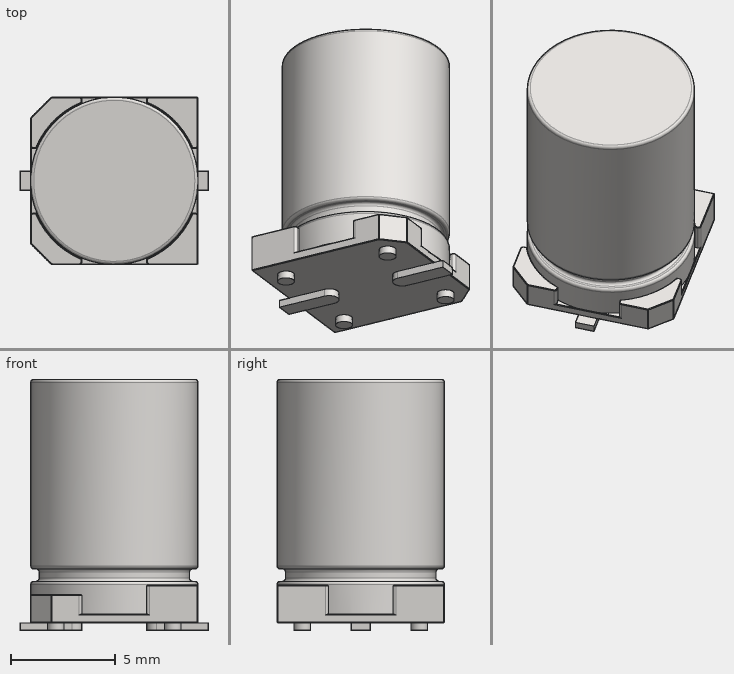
import cadquery as cq
import math

total_height = 12.0
lead_span = 9.0
can_diameter = 8.0

base_width = can_diameter
base_bottom = 0.36
floor_level = 0.78
low_lug_top = 1.7
tall_lug_top = 2.16
corner_chamfer = 1.0
notch_half_width = 1.55
notch_corner_radius = 0.13
bore_clearance = 0.04
edge_chamfer = 0.04

groove_diameter = 7.2
groove_center = 2.64
groove_opening = 0.89
groove_flat = 0.29

lead_width = 0.92
lead_inner_end = notch_half_width
pin_diameter = 0.8
pin_offset = 2.8

half_base = base_width / 2
can_radius = can_diameter / 2
neck_radius = groove_diameter / 2
rolled_radius = (groove_opening - groove_flat) / 4
cut_height = total_height
arc_middle = math.sqrt(0.5)


def above(level):
    """Horizontal workplane centred on the can axis at the given height."""
    return cq.Workplane("XY", origin=(0, 0, level))


def side_notch(angle):
    """Cutter for one side notch, flaring at its mouth to round the lug corners."""
    mouth = notch_half_width + notch_corner_radius
    arc_start = half_base - notch_corner_radius
    arc_inset = notch_corner_radius * (1 - arc_middle)
    arc_x = half_base - arc_inset
    arc_y = notch_half_width + arc_inset
    return (
        above(floor_level)
        .moveTo(0, -notch_half_width)
        .lineTo(arc_start, -notch_half_width)
        .threePointArc((arc_x, -arc_y), (half_base, -mouth))
        .lineTo(half_base, mouth)
        .threePointArc((arc_x, arc_y), (arc_start, notch_half_width))
        .lineTo(0, notch_half_width)
        .close()
        .extrude(cut_height)
        .rotate((0, 0, 0), (0, 0, 1), angle)
    )


def chamfer_top_edges(block):
    """Bevel the rims of the lug tops and the floor edge across each notch."""
    margin = 0.01
    lug_tops = cq.selectors.BoxSelector(
        (-base_width, -base_width, low_lug_top - margin),
        (base_width, base_width, tall_lug_top + margin),
    )
    block = block.faces("+Z").faces(lug_tops).edges().chamfer(edge_chamfer)

    floor_edges = cq.selectors.BoxSelector(
        (-base_width, -base_width, floor_level - margin),
        (base_width, base_width, floor_level + margin),
    )
    for side in ("<X", ">X", "<Y", ">Y"):
        block = block.faces(side).edges(floor_edges).chamfer(edge_chamfer)
    return block


def base():
    """Moulded base: a floor carrying four corner lugs, low at -X and tall at +X."""
    block = above(base_bottom).rect(base_width, base_width).extrude(tall_lug_top - base_bottom)
    block = block.edges("|Z and <X").chamfer(corner_chamfer)
    block = block.edges("|Z").chamfer(edge_chamfer)
    block = block.faces("<Z").edges().chamfer(edge_chamfer)

    low_side = above(low_lug_top).center(-half_base, 0).rect(base_width, base_width).extrude(cut_height)
    block = block.cut(low_side)
    for angle in (0, 90, 180, 270):
        block = block.cut(side_notch(angle))
    bore = above(floor_level).circle(can_radius + bore_clearance).extrude(cut_height)
    block = block.cut(bore)
    return chamfer_top_edges(block)


def can():
    """Turned can: rounded top rim and a groove with S-shaped flanks around a short neck."""
    arc_reach = rolled_radius * arc_middle
    convex_center = can_radius - rolled_radius
    concave_center = neck_radius + rolled_radius
    opening_low = groove_center - groove_opening / 2
    opening_high = groove_center + groove_opening / 2
    neck_low = groove_center - groove_flat / 2
    neck_high = groove_center + groove_flat / 2
    wall_low = neck_low - rolled_radius
    wall_high = neck_high + rolled_radius
    rim_start = total_height - rolled_radius
    convex_x = convex_center + arc_reach
    concave_x = concave_center - arc_reach
    return (
        cq.Workplane("XZ")
        .moveTo(0, floor_level)
        .lineTo(can_radius, floor_level)
        .lineTo(can_radius, opening_low)
        .threePointArc((convex_x, opening_low + arc_reach), (convex_center, wall_low))
        .lineTo(concave_center, wall_low)
        .threePointArc((concave_x, neck_low - arc_reach), (neck_radius, neck_low))
        .lineTo(neck_radius, neck_high)
        .threePointArc((concave_x, neck_high + arc_reach), (concave_center, wall_high))
        .lineTo(convex_center, wall_high)
        .threePointArc((convex_x, opening_high - arc_reach), (can_radius, opening_high))
        .lineTo(can_radius, rim_start)
        .threePointArc((convex_x, rim_start + arc_reach), (convex_center, total_height))
        .lineTo(0, total_height)
        .close()
        .revolve(360, (0, 0, 0), (0, 1, 0))
    )


def lead(side):
    """Flat lead on the +X (side 1) or -X (side -1) end, with a round inner end."""
    end_center = lead_inner_end + lead_width / 2
    length = lead_span / 2 - end_center
    bar_center = end_center + length / 2
    bar = above(0).center(side * bar_center, 0).rect(length, lead_width).extrude(base_bottom)
    round_end = above(0).center(side * end_center, 0).circle(lead_width / 2).extrude(base_bottom)
    return bar.union(round_end)


def pins():
    """Four round standoff pins under the base corners."""
    spacing = 2 * pin_offset
    corners = above(0).rect(spacing, spacing, forConstruction=True).vertices()
    return corners.circle(pin_diameter / 2).extrude(base_bottom)


result = base().union(can()).union(pins())
for end in (-1, 1):
    result = result.union(lead(end))